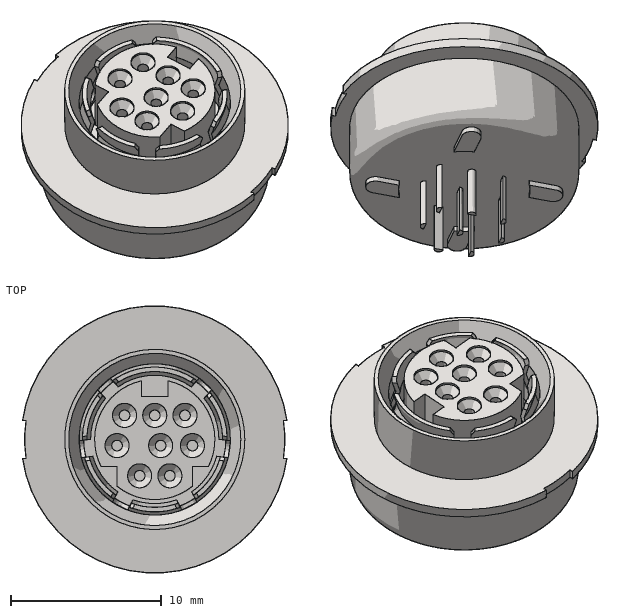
import cadquery as cq

FLANGE_TOP = -3.53
FLANGE_BOTTOM = -4.2
BODY_BOTTOM = -9.13
FEET_BOTTOM = -9.5
PIN_BOTTOM = -12.7
CAVITY_FLOOR = FLANGE_BOTTOM

FLANGE_RADIUS = 8.86
FLANGE_NOTCH_RADIUS = 8.63
FLANGE_NOTCH_WIDTH = 2.5
BODY_RADIUS = 7.6
BODY_FILLET = 1.25
TUBE_RADIUS = 5.97
MOUTH_RADIUS = 5.7
BORE_RADIUS = 5.01
FLARE_DEPTH = 1.2

SLEEVE_WALL = 0.3
SLEEVE_OUTER_RADIUS = BORE_RADIUS
LIP_OUTER_RADIUS = 4.8
WAIST_OUTER_RADIUS = 4.55
LIP_TOP = -0.27
LIP_BOTTOM = -0.5
WAIST_HEIGHT = -1.42
SLEEVE_SHOULDER = -3.01
LIP_CORNER_WIDTH = 0.25
LIP_CORNER_HEIGHT = 0.35
GAP_WIDTH = 1.13
GAP_DEPTH = 3.72
RIGHT_GAP_ANGLES = (-62.5, -7.5, 47.5)

INSERT_RADIUS = 3.99
KEYWAY_WIDTH = 1.77
KEYWAY_BOTTOM_Y = 2.85
CORNER_CUT_X = 2.5
CORNER_CUT_Y = -1.79

ROW_PITCH = 2.0
TOP_ROW_Y = 1.6
MIDDLE_ROW_Y = TOP_ROW_Y - ROW_PITCH
BOTTOM_ROW_Y = MIDDLE_ROW_Y - ROW_PITCH
TOP_ROW_X = ROW_PITCH
MIDDLE_ROW_X = 2.5
CENTRE_CONTACT_X = 0.39
BOTTOM_ROW_X = ROW_PITCH / 2
TOWARD_RIGHT, TOWARD_BACK, TOWARD_LEFT, TOWARD_FRONT = 0, 90, 180, 270
CONTACTS = [
    (-TOP_ROW_X, TOP_ROW_Y, TOWARD_LEFT),
    (0, TOP_ROW_Y, TOWARD_BACK),
    (TOP_ROW_X, TOP_ROW_Y, TOWARD_RIGHT),
    (-MIDDLE_ROW_X, MIDDLE_ROW_Y, TOWARD_LEFT),
    (CENTRE_CONTACT_X, MIDDLE_ROW_Y, TOWARD_LEFT),
    (MIDDLE_ROW_X, MIDDLE_ROW_Y, TOWARD_RIGHT),
    (-BOTTOM_ROW_X, BOTTOM_ROW_Y, TOWARD_LEFT),
    (BOTTOM_ROW_X, BOTTOM_ROW_Y, TOWARD_FRONT),
]
SOCKET_MOUTH_RADIUS = 0.8
SOCKET_RADIUS = 0.35
SOCKET_RIM_DEPTH = 0.16
SOCKET_CONE_DEPTH = 0.5
SOCKET_DEPTH = 2.65
TAIL_RADIUS = 0.3
TAIL_OFFSET = 0.1

FOOT_WIDTH = 1.3
FOOT_CENTRE_OFFSET = 1.25
FOOT_OUTER_REACH = 6.41
FOOT_INNER_RADIUS = 4.36
FOOT_COUNT = 4

EMBED = 0.89
MARGIN = 0.18


def cylinder(radius, bottom, top):
    return cq.Workplane("XY").workplane(offset=bottom).circle(radius).extrude(top - bottom)


def block(x_min, x_max, y_min, y_max, bottom, top):
    return (
        cq.Workplane("XY")
        .box(x_max - x_min, y_max - y_min, top - bottom, centered=False)
        .translate((x_min, y_min, bottom))
    )


def revolve_profile(points):
    """Revolve a closed outline of (radius, z) points around Z."""
    return cq.Workplane("XZ").polyline(points).close().revolve(360, (0, 0), (0, 1))


def make_shell():
    body = cylinder(BODY_RADIUS, BODY_BOTTOM, FLANGE_TOP)
    body = body.faces("<Z").edges().fillet(BODY_FILLET)
    flange = cylinder(FLANGE_RADIUS, FLANGE_BOTTOM, FLANGE_TOP)
    half_notch = FLANGE_NOTCH_WIDTH / 2
    notch_band = block(
        -FLANGE_RADIUS - MARGIN, FLANGE_RADIUS + MARGIN, -half_notch, half_notch, FLANGE_BOTTOM, FLANGE_TOP
    )
    flange = flange.cut(notch_band.cut(cylinder(FLANGE_NOTCH_RADIUS, FLANGE_BOTTOM, FLANGE_TOP)))
    tube = cylinder(TUBE_RADIUS, FLANGE_TOP, 0)
    cavity = revolve_profile(
        [
            (0, 0),
            (MOUTH_RADIUS, 0),
            (BORE_RADIUS, -FLARE_DEPTH),
            (BORE_RADIUS, CAVITY_FLOOR),
            (0, CAVITY_FLOOR),
        ]
    )
    return body.union(flange).union(tube).cut(cavity)


def make_gap_cutter():
    """Round-bottomed slit along +X with cut-off corners at the lip."""
    half_width = GAP_WIDTH / 2
    top_half_width = half_width + LIP_CORNER_WIDTH
    corner_bottom = LIP_TOP - LIP_CORNER_HEIGHT
    gap_bottom = LIP_TOP - GAP_DEPTH
    round_centre = gap_bottom + half_width
    return (
        cq.Workplane("YZ")
        .moveTo(-top_half_width, LIP_TOP)
        .lineTo(-half_width, corner_bottom)
        .lineTo(-half_width, round_centre)
        .threePointArc((0, gap_bottom), (half_width, round_centre))
        .lineTo(half_width, corner_bottom)
        .lineTo(top_half_width, LIP_TOP)
        .close()
        .extrude(BORE_RADIUS + MARGIN)
    )


def make_sleeve():
    outer_side = [
        (LIP_OUTER_RADIUS, LIP_TOP),
        (LIP_OUTER_RADIUS, LIP_BOTTOM),
        (WAIST_OUTER_RADIUS, WAIST_HEIGHT),
        (SLEEVE_OUTER_RADIUS, SLEEVE_SHOULDER),
        (SLEEVE_OUTER_RADIUS, CAVITY_FLOOR),
    ]
    inner_side = [(radius - SLEEVE_WALL, z) for radius, z in reversed(outer_side)]
    sleeve = revolve_profile(outer_side + inner_side)
    cutter = make_gap_cutter()
    for right_angle in RIGHT_GAP_ANGLES:
        for angle in (right_angle, 180 - right_angle):
            sleeve = sleeve.cut(cutter.rotate((0, 0, 0), (0, 0, 1), angle))
    return sleeve


def make_insert():
    insert = cylinder(INSERT_RADIUS, CAVITY_FLOOR, 0)
    half_key = KEYWAY_WIDTH / 2
    insert = insert.cut(block(-half_key, half_key, KEYWAY_BOTTOM_Y, INSERT_RADIUS, CAVITY_FLOOR, 0))
    corner = block(CORNER_CUT_X, INSERT_RADIUS, -INSERT_RADIUS, CORNER_CUT_Y, CAVITY_FLOOR, 0)
    return insert.cut(corner).cut(corner.mirror("YZ"))


def make_socket_hole():
    cone_bottom = -SOCKET_RIM_DEPTH - SOCKET_CONE_DEPTH
    return revolve_profile(
        [
            (0, 0),
            (SOCKET_MOUTH_RADIUS, 0),
            (SOCKET_MOUTH_RADIUS, -SOCKET_RIM_DEPTH),
            (SOCKET_RADIUS, cone_bottom),
            (SOCKET_RADIUS, -SOCKET_DEPTH),
            (0, -SOCKET_DEPTH),
        ]
    )


def make_tail():
    """Half-round tail bulging toward +X, its flat set off from the contact axis."""
    return (
        cq.Workplane("XY")
        .workplane(offset=PIN_BOTTOM)
        .moveTo(TAIL_OFFSET, -TAIL_RADIUS)
        .threePointArc((TAIL_OFFSET + TAIL_RADIUS, 0), (TAIL_OFFSET, TAIL_RADIUS))
        .close()
        .extrude(BODY_BOTTOM + EMBED - PIN_BOTTOM)
    )


def make_foot():
    """Foot reaching out along -X with a round outer end and an inner end curved around Z."""
    top = BODY_BOTTOM + EMBED
    half_width = FOOT_WIDTH / 2
    round_x = -FOOT_OUTER_REACH + half_width
    bar = block(
        round_x, 0, FOOT_CENTRE_OFFSET - half_width, FOOT_CENTRE_OFFSET + half_width, FEET_BOTTOM, top
    )
    end = cylinder(half_width, FEET_BOTTOM, top).translate((round_x, FOOT_CENTRE_OFFSET, 0))
    return bar.union(end).cut(cylinder(FOOT_INNER_RADIUS, FEET_BOTTOM, top))


result = make_shell().union(make_sleeve()).union(make_insert())

socket_hole = make_socket_hole()
tail = make_tail()
for x, y, direction in CONTACTS:
    result = result.cut(socket_hole.translate((x, y, 0)))
    result = result.union(tail.rotate((0, 0, 0), (0, 0, 1), direction).translate((x, y, 0)))

foot = make_foot()
for index in range(FOOT_COUNT):
    result = result.union(foot.rotate((0, 0, 0), (0, 0, 1), index * 360 / FOOT_COUNT))